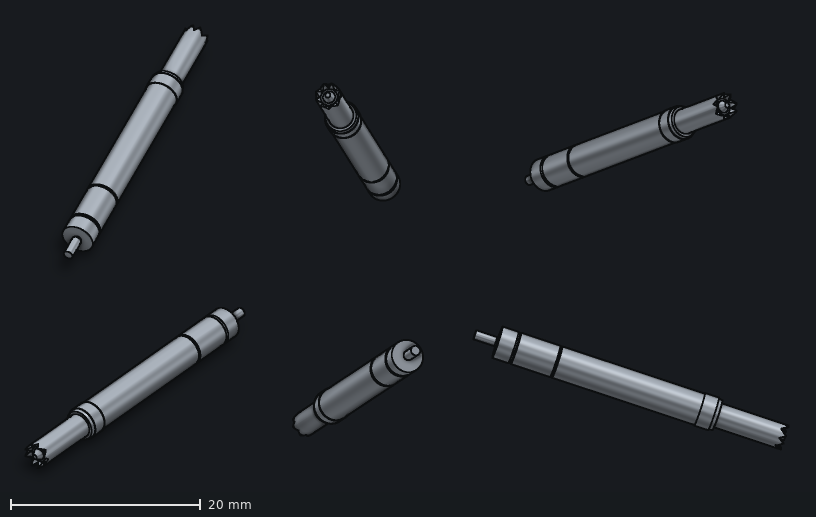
import cadquery as cq

LENGTH = 34.5
TIP_Y = LENGTH / 2
PIN_END_Y = -LENGTH / 2

PLUNGER_RADIUS = 1.35
NOTCH_PAIRS = 4
NARROW_NOTCH_DEPTH = 0.62
NARROW_NOTCH_WIDTH = 0.75
WIDE_NOTCH_DEPTH = 0.72
WIDE_NOTCH_WIDTH = 1.17
BORE_MOUTH_RADIUS = 1.3
BORE_FLOOR_RADIUS = 0.9
CONE_TIP_RADIUS = 0.28
CONE_BASE_RADIUS = 0.65

BARREL_RADIUS = 1.75
BARREL_FRONT_Y = 9.75
BARREL_BACK_Y = -14.73
COLLAR_RADIUS = 1.83
COLLAR_FRONT_Y = 9.3
COLLAR_BACK_Y = 7.75
NOSE_RADIUS = 1.65

GROOVE_DEPTH = 0.1
FRONT_GROOVE_Y = -8.07
FRONT_GROOVE_WIDTH = 0.25
BACK_GROOVE_Y = -12.65
BACK_GROOVE_WALL = 0.1
BACK_GROOVE_WIDTH = 0.3

PIN_RADIUS = 0.52
PIN_NECK_RADIUS = 0.4
PIN_TAPER_LENGTH = 0.2


def make_body():
    """Revolve the half outline (radius, y) about the Y axis."""
    groove_radius = BARREL_RADIUS - GROOVE_DEPTH
    outline = [
        (0, TIP_Y),
        (PLUNGER_RADIUS, TIP_Y),
        (PLUNGER_RADIUS, BARREL_FRONT_Y),
        (NOSE_RADIUS, BARREL_FRONT_Y),
        (BARREL_RADIUS, COLLAR_FRONT_Y),
        (COLLAR_RADIUS, COLLAR_FRONT_Y),
        (COLLAR_RADIUS, COLLAR_BACK_Y),
        (BARREL_RADIUS, COLLAR_BACK_Y),
        (BARREL_RADIUS, FRONT_GROOVE_Y),
        (groove_radius, FRONT_GROOVE_Y - FRONT_GROOVE_WIDTH / 2),
        (BARREL_RADIUS, FRONT_GROOVE_Y - FRONT_GROOVE_WIDTH),
        (BARREL_RADIUS, BACK_GROOVE_Y),
        (groove_radius, BACK_GROOVE_Y - BACK_GROOVE_WALL),
        (BARREL_RADIUS, BACK_GROOVE_Y - BACK_GROOVE_WIDTH),
        (BARREL_RADIUS, BARREL_BACK_Y),
        (PIN_NECK_RADIUS, BARREL_BACK_Y),
        (PIN_RADIUS, BARREL_BACK_Y - PIN_TAPER_LENGTH),
        (PIN_RADIUS, PIN_END_Y),
        (0, PIN_END_Y),
    ]
    return cq.Workplane("XY").polyline(outline).close().revolve(360, (0, 0), (0, 1))


def make_crown_recess():
    """Ring-shaped recess that leaves a thin-tipped wall around a blunt central cone."""
    floor_y = TIP_Y - WIDE_NOTCH_DEPTH
    ring = [
        (CONE_TIP_RADIUS, TIP_Y),
        (BORE_MOUTH_RADIUS, TIP_Y),
        (BORE_FLOOR_RADIUS, floor_y),
        (CONE_BASE_RADIUS, floor_y),
    ]
    return cq.Workplane("XY").polyline(ring).close().revolve(360, (0, 0), (0, 1))


def make_notch(width, depth, angle):
    """V notch through the crown wall on one side, turned about the Y axis from +Z."""
    notch = (
        cq.Workplane("XY", origin=(0, 0, CONE_BASE_RADIUS))
        .polyline([(-width / 2, TIP_Y), (0, TIP_Y - depth), (width / 2, TIP_Y)])
        .close()
        .extrude(PLUNGER_RADIUS)
    )
    return notch.rotate((0, 0, 0), (0, 1, 0), angle)


result = make_body().cut(make_crown_recess())

pair_angle = 360 / NOTCH_PAIRS
for index in range(NOTCH_PAIRS):
    narrow_angle = index * pair_angle
    wide_angle = narrow_angle + pair_angle / 2
    result = result.cut(make_notch(NARROW_NOTCH_WIDTH, NARROW_NOTCH_DEPTH, narrow_angle))
    result = result.cut(make_notch(WIDE_NOTCH_WIDTH, WIDE_NOTCH_DEPTH, wide_angle))